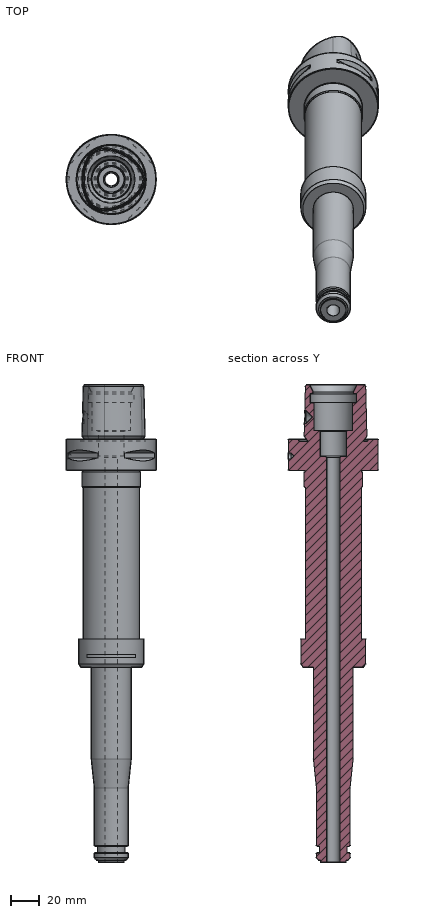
import cadquery as cq
import math

SHANK_LENGTH = 38.0
TOTAL_LENGTH = 333.5
BOTTOM_Z = SHANK_LENGTH - TOTAL_LENGTH

LOBE_COUNT = 3
LOBE_HEIGHT = 1.6
SHANK_RADIUS = 22.1
TAPER_PER_SIDE = 1 / 40
SHANK_FOOT_Z = 2.0
SHANK_TIP_CHAMFER_HEIGHT = 1.4
SHANK_TIP_CHAMFER_WIDTH = 0.8
RELIEF_INSET = 2.6
POINTS_PER_SEGMENT = 9

FLANGE_RADIUS = 63.0 / 2
FLANGE_HEIGHT = 22.0
FLANGE_CHAMFER = 0.5
FACE_GROOVE_RADIUS = 24.5
FACE_GROOVE_DEPTH = 1.5
FACE_GROOVE_WALL_SLOPE = 0.7
GRIP_Z = -11.5
GRIP_DEPTH = 3.6
GRIP_DIRECTIONS = (45, 135, 225, 315)
GRIP_FLOOR_HEIGHT = 3.2
GRIP_SIDE_ANGLE = 31.0
SMALL_DIMPLE_RADIUS = 4.0 / 2
SMALL_DIMPLE_DEPTH = 2.0
SMALL_DIMPLE_Z = -11.8

NECK_RADIUS = 40.0 / 2
NECK_LENGTH = 1.0
COLLAR_RADIUS = 41.0 / 2
COLLAR_END_Z = -34.0
COLLAR_CHAMFER = 0.7
TUBE_RADIUS = 39.5 / 2
RING_RADIUS = 45.5 / 2
RING_TOP_Z = -139.5
RING_HEIGHT = 20.0
RING_LOWER_CHAMFER_HEIGHT = 2.6
RING_LOWER_CHAMFER_WIDTH = 1.5
MARK_TOP_Z = -150.4
MARK_HEIGHT = 2.2
MARK_DEPTH = 0.15
MARK_HALF_ANGLE = 48.0

STEM_RADIUS = 28.0 / 2
CONE_TOP_Z = -223.5
CONE_LENGTH = 20.0
TIP_RADIUS = 23.8 / 2
END_NECK_RADIUS = 19.5 / 2
END_NECK_TOP_Z = -284.5
END_NECK_CHAMFER = 0.8
KNOB_RADIUS = 24.0 / 2
KNOB_TOP_Z = -288.8
KNOB_CHAMFER = 0.6
KNOB_STRAIGHT_END_Z = -292.3
KNOB_BOTTOM_CHAMFER = 1.8
END_FACE_RADIUS = 17.84 / 2

MOUTH_RADIUS = 33.0 / 2
LIP_RADIUS = 28.0 / 2
MOUTH_CONE_DEPTH = 5.0
LIP_LENGTH = 1.5
CLAMP_GROOVE_RADIUS = 32.0 / 2
CLAMP_GROOVE_DEPTH = 12.6
MAIN_BORE_RADIUS = 13.4
MAIN_BORE_DEPTH = 32.0
COUNTERSINK_RADIUS = 19.5 / 2
SCREW_BORE_RADIUS = 17.84 / 2
SCREW_BORE_DEPTH = 50.0
THROUGH_COUNTERSINK_RADIUS = 11.0 / 2
THROUGH_RADIUS = 9.0 / 2

DIMPLE_CONE_HALF_ANGLE = 45.0
SHANK_DIMPLE_RADIUS = 9.0 / 2
SHANK_DIMPLE_DEPTH = 1.0
SHANK_DIMPLE_Z = SHANK_LENGTH - 22.6


def turn_about_z(profile, sweep_angle=360):
    """Turn a closed (radius, Z) outline about the Z axis."""
    return cq.Workplane("XZ").polyline(profile).close().revolve(sweep_angle, (0, 0, 0), (0, 1, 0))


def lobed_point(mean_radius, normal_angle):
    """Point of the lobed outline whose outward normal points along normal_angle; a lobe lies on +X."""
    reach = mean_radius + LOBE_HEIGHT * math.cos(LOBE_COUNT * normal_angle)
    slope = -LOBE_COUNT * LOBE_HEIGHT * math.sin(LOBE_COUNT * normal_angle)
    x = reach * math.cos(normal_angle) - slope * math.sin(normal_angle)
    y = reach * math.sin(normal_angle) + slope * math.cos(normal_angle)
    return cq.Vector(x, y, 0)


def lobed_wire(mean_radius, z):
    """Closed outline of alternating lobes and flats, each a single curve."""
    segment_angle = math.pi / LOBE_COUNT
    edges = []
    for segment in range(2 * LOBE_COUNT):
        start_angle = (segment - 0.5) * segment_angle
        angles = [
            start_angle + segment_angle * step / (POINTS_PER_SEGMENT - 1)
            for step in range(POINTS_PER_SEGMENT)
        ]
        points = [lobed_point(mean_radius, angle) + cq.Vector(0, 0, z) for angle in angles]
        tangents = [
            cq.Vector(-math.sin(angle), math.cos(angle), 0)
            for angle in (angles[0], angles[-1])
        ]
        edges.append(cq.Edge.makeSpline(points, tangents=tangents))
    return cq.Wire.assembleEdges(edges)


def lobed_frustum(lower_radius, lower_z, upper_radius, upper_z):
    """Straight-sided solid between two lobed outlines of different mean radius."""
    wires = [lobed_wire(lower_radius, lower_z), lobed_wire(upper_radius, upper_z)]
    return cq.Workplane(cq.Solid.makeLoft(wires, True))


def shank_radius_at(z):
    """Mean radius of the tapered shank at height z."""
    return SHANK_RADIUS - TAPER_PER_SIDE * (z - SHANK_FOOT_Z)


def make_shank():
    """Undercut foot, long taper and chamfered tip of the shank."""
    taper_top_z = SHANK_LENGTH - SHANK_TIP_CHAMFER_HEIGHT
    taper_top_radius = shank_radius_at(taper_top_z)
    tip_radius = taper_top_radius - SHANK_TIP_CHAMFER_WIDTH
    foot = lobed_frustum(SHANK_RADIUS - RELIEF_INSET, -FACE_GROOVE_DEPTH, SHANK_RADIUS, SHANK_FOOT_Z)
    taper = lobed_frustum(SHANK_RADIUS, SHANK_FOOT_Z, taper_top_radius, taper_top_z)
    tip = lobed_frustum(taper_top_radius, taper_top_z, tip_radius, SHANK_LENGTH)
    return foot.union(taper).union(tip)


def make_body():
    """Everything from the flange down, turned about the Z axis."""
    flange_bottom_z = -FLANGE_HEIGHT
    ring_bottom_z = RING_TOP_Z - RING_HEIGHT
    knob_chamfer_end_z = KNOB_STRAIGHT_END_Z - KNOB_BOTTOM_CHAMFER
    profile = [
        (0, -FACE_GROOVE_DEPTH),
        (FACE_GROOVE_RADIUS - FACE_GROOVE_WALL_SLOPE, -FACE_GROOVE_DEPTH),
        (FACE_GROOVE_RADIUS, 0),
        (FLANGE_RADIUS - FLANGE_CHAMFER, 0),
        (FLANGE_RADIUS, -FLANGE_CHAMFER),
        (FLANGE_RADIUS, flange_bottom_z + FLANGE_CHAMFER),
        (FLANGE_RADIUS - FLANGE_CHAMFER, flange_bottom_z),
        (NECK_RADIUS, flange_bottom_z),
        (NECK_RADIUS, flange_bottom_z - NECK_LENGTH),
        (COLLAR_RADIUS, flange_bottom_z - NECK_LENGTH),
        (COLLAR_RADIUS, COLLAR_END_Z + COLLAR_CHAMFER),
        (COLLAR_RADIUS - COLLAR_CHAMFER, COLLAR_END_Z),
        (TUBE_RADIUS, COLLAR_END_Z),
        (TUBE_RADIUS, RING_TOP_Z),
        (RING_RADIUS, RING_TOP_Z),
        (RING_RADIUS, ring_bottom_z + RING_LOWER_CHAMFER_HEIGHT),
        (RING_RADIUS - RING_LOWER_CHAMFER_WIDTH, ring_bottom_z),
        (STEM_RADIUS, ring_bottom_z),
        (STEM_RADIUS, CONE_TOP_Z),
        (TIP_RADIUS, CONE_TOP_Z - CONE_LENGTH),
        (TIP_RADIUS, END_NECK_TOP_Z + END_NECK_CHAMFER),
        (TIP_RADIUS - END_NECK_CHAMFER, END_NECK_TOP_Z),
        (END_NECK_RADIUS, END_NECK_TOP_Z),
        (END_NECK_RADIUS, KNOB_TOP_Z),
        (KNOB_RADIUS - KNOB_CHAMFER, KNOB_TOP_Z),
        (KNOB_RADIUS, KNOB_TOP_Z - KNOB_CHAMFER),
        (KNOB_RADIUS, KNOB_STRAIGHT_END_Z),
        (KNOB_RADIUS - KNOB_BOTTOM_CHAMFER, knob_chamfer_end_z),
        (END_FACE_RADIUS, knob_chamfer_end_z),
        (END_FACE_RADIUS, BOTTOM_Z),
        (0, BOTTOM_Z),
    ]
    return turn_about_z(profile)


def make_bore():
    """Stepped bore running the full length, turned about the Z axis."""
    lip_z = SHANK_LENGTH - MOUTH_CONE_DEPTH
    groove_top_z = lip_z - LIP_LENGTH
    groove_bottom_z = SHANK_LENGTH - CLAMP_GROOVE_DEPTH
    main_floor_z = SHANK_LENGTH - MAIN_BORE_DEPTH
    countersink_depth = COUNTERSINK_RADIUS - SCREW_BORE_RADIUS
    screw_floor_z = SHANK_LENGTH - SCREW_BORE_DEPTH
    through_countersink_depth = THROUGH_COUNTERSINK_RADIUS - THROUGH_RADIUS
    profile = [
        (0, SHANK_LENGTH),
        (MOUTH_RADIUS, SHANK_LENGTH),
        (LIP_RADIUS, lip_z),
        (LIP_RADIUS, groove_top_z),
        (CLAMP_GROOVE_RADIUS, groove_top_z),
        (CLAMP_GROOVE_RADIUS, groove_bottom_z),
        (MAIN_BORE_RADIUS, groove_bottom_z),
        (MAIN_BORE_RADIUS, main_floor_z),
        (COUNTERSINK_RADIUS, main_floor_z),
        (SCREW_BORE_RADIUS, main_floor_z - countersink_depth),
        (SCREW_BORE_RADIUS, screw_floor_z),
        (THROUGH_COUNTERSINK_RADIUS, screw_floor_z),
        (THROUGH_RADIUS, screw_floor_z - through_countersink_depth),
        (THROUGH_RADIUS, BOTTOM_Z),
        (0, BOTTOM_Z),
    ]
    return turn_about_z(profile)


def make_grip_slots():
    """Four straight V-sided slots across the flange rim, midway between the X and Y axes."""
    slot_length = 2 * FLANGE_RADIUS
    floor_radius = FLANGE_RADIUS - GRIP_DEPTH
    floor_half = GRIP_FLOOR_HEIGHT / 2
    mouth_half = floor_half + GRIP_DEPTH * math.tan(math.radians(GRIP_SIDE_ANGLE))
    section = [
        (floor_radius, GRIP_Z - floor_half),
        (FLANGE_RADIUS, GRIP_Z - mouth_half),
        (FLANGE_RADIUS, GRIP_Z + mouth_half),
        (floor_radius, GRIP_Z + floor_half),
    ]
    slot = cq.Workplane("XZ").polyline(section).close().extrude(slot_length / 2, both=True)
    slots = cq.Workplane()
    for angle in GRIP_DIRECTIONS:
        slots = slots.add(slot.rotate((0, 0, 0), (0, 0, 1), angle))
    return slots.combine()


def make_left_dimple(radius, z, surface_x, straight_depth):
    """Radial blind hole with a conical floor, sunk into the -X side whose surface is at surface_x."""
    cone_start_x = surface_x + straight_depth
    cone_depth = radius / math.tan(math.radians(DIMPLE_CONE_HALF_ANGLE))
    profile = [
        (-FLANGE_RADIUS, z),
        (-FLANGE_RADIUS, z + radius),
        (cone_start_x, z + radius),
        (cone_start_x + cone_depth, z),
    ]
    return cq.Workplane("XZ").polyline(profile).close().revolve(360, (0, z, 0), (1, z, 0))


def make_ring_mark():
    """Shallow recessed band on the -Y side of the lower ring."""
    floor_radius = RING_RADIUS - MARK_DEPTH
    bottom_z = MARK_TOP_Z - MARK_HEIGHT
    section = [
        (floor_radius, bottom_z),
        (RING_RADIUS, bottom_z),
        (RING_RADIUS, MARK_TOP_Z),
        (floor_radius, MARK_TOP_Z),
    ]
    band = turn_about_z(section, 2 * MARK_HALF_ANGLE)
    return band.rotate((0, 0, 0), (0, 0, 1), -90 - MARK_HALF_ANGLE)


body = make_body().union(make_shank()).cut(make_bore())
body = body.cut(make_grip_slots())
shank_side_x = -(shank_radius_at(SHANK_DIMPLE_Z) - LOBE_HEIGHT)
body = body.cut(make_left_dimple(SHANK_DIMPLE_RADIUS, SHANK_DIMPLE_Z, shank_side_x, SHANK_DIMPLE_DEPTH))
body = body.cut(make_left_dimple(SMALL_DIMPLE_RADIUS, SMALL_DIMPLE_Z, -FLANGE_RADIUS, SMALL_DIMPLE_DEPTH))
result = body.cut(make_ring_mark())